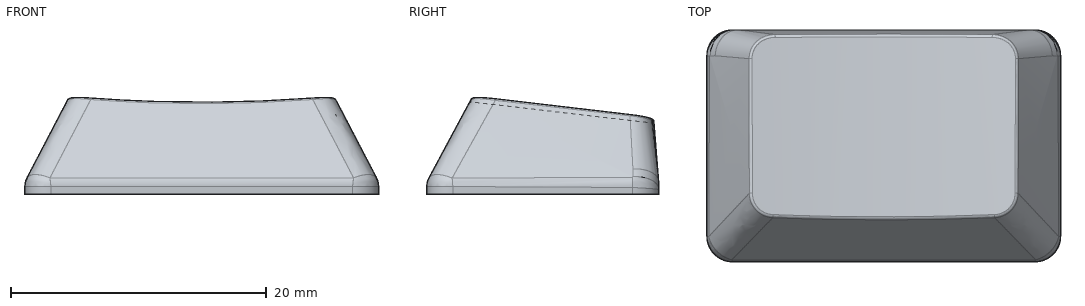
import cadquery as cq
import math

base_length = 27.69
base_width = 18.16
skirt_height = 0.97

top_length = 20.8
top_front_y = -5.42
top_back_y = 8.67
top_front_z = 7.79
tilt = math.radians(6.7)

corner_radius = 2.05
bend_radius = 1.45
rim_radius = 0.25

dish_radius = 110.0
dish_front_z = 7.21
dish_length = 60.0

position_tolerance = 0.01


def make_skirt():
    return cq.Workplane("XY").rect(base_length, base_width).extrude(skirt_height)


def make_sloping_walls():
    """Straight-ruled walls from the skirt's upper edge to the tilted top rectangle."""
    center_y = (top_front_y + top_back_y) / 2
    center_z = top_front_z - (center_y - top_front_y) * math.tan(tilt)
    slope_length = (top_back_y - top_front_y) / math.cos(tilt)
    tilted_plane = cq.Plane(
        origin=(0, center_y, center_z),
        xDir=(1, 0, 0),
        normal=(0, math.sin(tilt), math.cos(tilt)),
    )
    lower = cq.Workplane("XY", origin=(0, 0, skirt_height)).rect(base_length, base_width)
    upper = cq.Workplane(tilted_plane).rect(top_length, slope_length)
    walls = cq.Solid.makeLoft([lower.wires().val(), upper.wires().val()], True)
    return cq.Workplane(obj=walls)


def round_corners_and_bend(body):
    """Fillet the four corners and the bend above the skirt together, each with its own radius."""
    fillet = cq.occ_impl.shapes.BRepFilletAPI_MakeFillet(body.val().wrapped)
    for edge in body.edges().vals():
        center = edge.Center()
        is_level = edge.BoundingBox().zlen < position_tolerance
        is_on_bend = is_level and abs(center.z - skirt_height) < position_tolerance
        is_on_corner = not is_level and abs(center.x) > top_length / 2 + position_tolerance
        if is_on_bend:
            fillet.Add(bend_radius, edge.wrapped)
        elif is_on_corner:
            fillet.Add(corner_radius, edge.wrapped)
    return cq.Workplane(obj=cq.Shape.cast(fillet.Shape()))


def make_dish():
    axis = cq.Vector(0, math.cos(tilt), -math.sin(tilt))
    lowest_front = cq.Vector(0, top_front_y, dish_front_z)
    upward = cq.Vector(0, math.sin(tilt), math.cos(tilt))
    start = lowest_front + upward * dish_radius - axis * (dish_length / 2)
    return cq.Workplane(obj=cq.Solid.makeCylinder(dish_radius, dish_length, start, axis))


def round_rim(body):
    top_face = max(body.faces().vals(), key=lambda face: face.Center().z)
    return body.newObject(top_face.Edges()).fillet(rim_radius)


walls_on_skirt = make_skirt().union(make_sloping_walls())
dished_body = round_corners_and_bend(walls_on_skirt).cut(make_dish())
result = round_rim(dished_body)